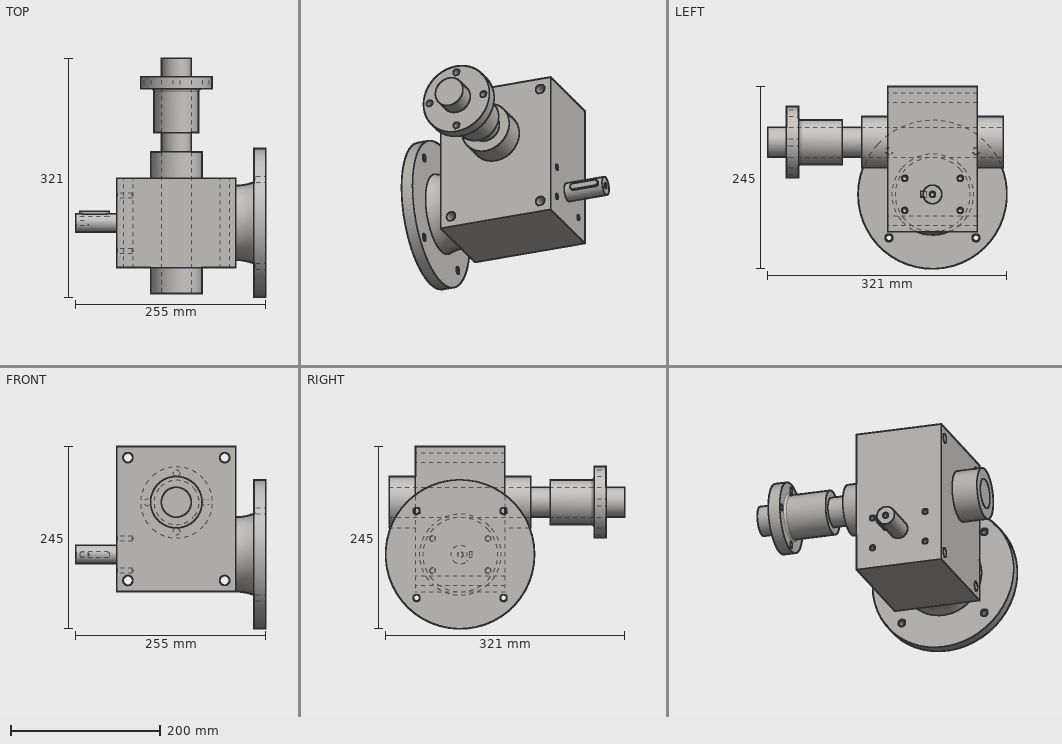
import cadquery as cq
import math


OVERALL_LENGTH = 321.0

HOUSING_LENGTH = 160.0
HOUSING_WIDTH = 120.0
HOUSING_HEIGHT = 195.0
INPUT_HEIGHT = 50.0
AXIS_DISTANCE = 70.0
HOUSING_END_X = HOUSING_LENGTH / 2
HOUSING_SIDE_Y = HOUSING_WIDTH / 2
HOUSING_MID_Z = HOUSING_HEIGHT / 2 - INPUT_HEIGHT

COLLAR_DIAMETER = 69.0
COLLAR_LENGTH = 35.0
COLLAR_END_Y = HOUSING_SIDE_Y + COLLAR_LENGTH

MOUNTING_HOLE_DIAMETER = 13.0
MOUNTING_HOLE_MARGIN = 15.0

DRILL_POINT_ANGLE = 118.0

COVER_HOLE_DIAMETER = 6.7
COVER_HOLE_MOUTH = 8.0
COVER_HOLE_DEPTH = 20.0
COVER_HOLE_SPACING_Y = 74.5
COVER_HOLE_SPACING_Z = 43.0

NECK_LENGTH = 24.0
NECK_RADIUS = 50.0
NECK_FLARE = 4.5
FLANGE_DIAMETER = 200.0
FLANGE_THICKNESS = 16.0
FLANGE_HOLE_DIAMETER = 8.5
FLANGE_HOLE_MOUTH = 10.3
FLANGE_BOLT_CIRCLE = 165.0

SHAFT_DIAMETER = 25.0
SHAFT_LENGTH = 55.0
CENTRE_HOLE_DIAMETER = 6.7
CENTRE_HOLE_MOUTH = 8.0
CENTRE_HOLE_DEPTH = 16.0
KEY_LENGTH = 40.0
KEY_WIDTH = 8.0
KEY_HEIGHT = 7.0
KEY_PROJECTION = 3.2
KEY_END_GAP = 5.0

SCREW_DIAMETER = 40.0
SCREW_TIP_Y = OVERALL_LENGTH - FLANGE_DIAMETER / 2

NUT_DIAMETER = 60.0
NUT_LENGTH = 75.0
NUT_FLANGE_DIAMETER = 96.0
NUT_FLANGE_THICKNESS = 16.5
NUT_TIP_GAP = 25.0
NUT_FILLET_RADIUS = 3.0
NUT_HOLE_DIAMETER = 9.0
NUT_BOLT_CIRCLE = 78.0
NUT_HOLE_COUNT = 4


def cylinder_x(diameter, start, end, y=0, z=0):
    """Cylinder along X from start to end."""
    return cq.Workplane("YZ", origin=(start, y, z)).circle(diameter / 2).extrude(end - start)


def cylinder_y(diameter, start, end, x=0, z=AXIS_DISTANCE):
    """Cylinder along Y from start to end, on the screw axis unless placed elsewhere."""
    return cq.Workplane("XZ", origin=(x, start, z)).circle(diameter / 2).extrude(start - end)


def countersink_x(mouth_diameter, start, y=0, z=0):
    """Cone of 90 degrees with its mouth at start, narrowing towards +X."""
    mouth_radius = mouth_diameter / 2
    profile = (
        cq.Workplane("XY", origin=(start, y, z))
        .lineTo(mouth_radius, 0)
        .lineTo(0, mouth_radius)
        .close()
    )
    return profile.revolve(360, (0, 0, 0), (1, 0, 0))


def blind_hole_x(diameter, mouth_diameter, depth, start, y=0, z=0):
    """Countersunk hole running towards +X with a conical drill point at its bottom."""
    radius = diameter / 2
    point_length = radius / math.tan(math.radians(DRILL_POINT_ANGLE / 2))
    profile = (
        cq.Workplane("XY", origin=(start, y, z))
        .lineTo(depth + point_length, 0)
        .lineTo(depth, radius)
        .lineTo(0, radius)
        .close()
    )
    hole = profile.revolve(360, (0, 0, 0), (1, 0, 0))
    return hole.union(countersink_x(mouth_diameter, start, y, z))


def make_motor_flange():
    """Round flange on a neck that leaves the housing straight and flares along an arc."""
    neck_end_radius = NECK_RADIUS + NECK_FLARE
    flare_radius = (NECK_LENGTH**2 + NECK_FLARE**2) / (2 * NECK_FLARE)
    half_angle = math.asin(NECK_LENGTH / flare_radius) / 2
    arc_middle = (
        flare_radius * math.sin(half_angle),
        NECK_RADIUS + flare_radius * (1 - math.cos(half_angle)),
    )
    neck = (
        cq.Workplane("XY", origin=(HOUSING_END_X, 0, 0))
        .lineTo(0, NECK_RADIUS)
        .threePointArc(arc_middle, (NECK_LENGTH, neck_end_radius))
        .lineTo(NECK_LENGTH, 0)
        .close()
        .revolve(360, (0, 0, 0), (1, 0, 0))
    )
    flange_start = HOUSING_END_X + NECK_LENGTH
    flange_end = flange_start + FLANGE_THICKNESS
    flange = cylinder_x(FLANGE_DIAMETER, flange_start, flange_end)
    bolt_offset = FLANGE_BOLT_CIRCLE / 2 * math.sqrt(0.5)
    for y in (-bolt_offset, bolt_offset):
        for z in (-bolt_offset, bolt_offset):
            flange = flange.cut(cylinder_x(FLANGE_HOLE_DIAMETER, flange_start, flange_end, y, z))
            flange = flange.cut(countersink_x(FLANGE_HOLE_MOUTH, flange_start, y, z))
    return neck.union(flange)


def make_housing():
    """Block with collars, motor flange, screw bore, mounting holes and blind cover holes."""
    housing = cq.Workplane("XY").box(HOUSING_LENGTH, HOUSING_WIDTH, HOUSING_HEIGHT)
    housing = housing.translate((0, 0, HOUSING_MID_Z))
    housing = housing.union(cylinder_y(COLLAR_DIAMETER, -COLLAR_END_Y, COLLAR_END_Y))
    housing = housing.union(make_motor_flange())
    housing = housing.cut(cylinder_y(SCREW_DIAMETER, -COLLAR_END_Y, COLLAR_END_Y))

    mounting_x = HOUSING_LENGTH / 2 - MOUNTING_HOLE_MARGIN
    mounting_z = HOUSING_HEIGHT / 2 - MOUNTING_HOLE_MARGIN
    for x in (-mounting_x, mounting_x):
        for z in (HOUSING_MID_Z - mounting_z, HOUSING_MID_Z + mounting_z):
            housing = housing.cut(
                cylinder_y(MOUNTING_HOLE_DIAMETER, -HOUSING_SIDE_Y, HOUSING_SIDE_Y, x, z)
            )

    for y in (-COVER_HOLE_SPACING_Y / 2, COVER_HOLE_SPACING_Y / 2):
        for z in (-COVER_HOLE_SPACING_Z / 2, COVER_HOLE_SPACING_Z / 2):
            cover_hole = blind_hole_x(
                COVER_HOLE_DIAMETER, COVER_HOLE_MOUTH, COVER_HOLE_DEPTH, -HOUSING_END_X, y, z
            )
            housing = housing.cut(cover_hole)
    return housing


def make_key():
    """Round-ended key lying along X on the +Y side of the input shaft."""
    middle_x = -HOUSING_END_X - SHAFT_LENGTH + KEY_END_GAP + KEY_LENGTH / 2
    top_y = SHAFT_DIAMETER / 2 + KEY_PROJECTION
    return (
        cq.Workplane("XZ", origin=(middle_x, top_y, 0))
        .slot2D(KEY_LENGTH, KEY_WIDTH)
        .extrude(KEY_HEIGHT)
    )


def make_input_shaft(key):
    """Shaft butting against the housing, with a keyway and a blind centre hole in its end."""
    shaft_end_x = -HOUSING_END_X - SHAFT_LENGTH
    shaft = cylinder_x(SHAFT_DIAMETER, shaft_end_x, -HOUSING_END_X)
    centre_hole = blind_hole_x(
        CENTRE_HOLE_DIAMETER, CENTRE_HOLE_MOUTH, CENTRE_HOLE_DEPTH, shaft_end_x
    )
    return shaft.cut(centre_hole).cut(key)


def make_screw():
    """Plain lifting screw, flush with the collar on the -Y side."""
    return cylinder_y(SCREW_DIAMETER, -COLLAR_END_Y, SCREW_TIP_Y)


def make_nut():
    """Nut sleeve with a filleted, drilled flange at the end nearest the screw tip."""
    nut_end = SCREW_TIP_Y - NUT_TIP_GAP
    nut_start = nut_end - NUT_LENGTH
    flange_start = nut_end - NUT_FLANGE_THICKNESS
    sleeve = cylinder_y(NUT_DIAMETER, nut_start, flange_start)
    nut = sleeve.union(cylinder_y(NUT_FLANGE_DIAMETER, flange_start, nut_end))

    corner_reach = NUT_DIAMETER / 2 + NUT_FILLET_RADIUS
    root_corner = cq.selectors.BoxSelector(
        (-corner_reach, flange_start - NUT_FILLET_RADIUS, AXIS_DISTANCE - corner_reach),
        (corner_reach, flange_start + NUT_FILLET_RADIUS, AXIS_DISTANCE + corner_reach),
        boundingbox=True,
    )
    nut = nut.edges(root_corner).fillet(NUT_FILLET_RADIUS)

    nut = nut.cut(cylinder_y(SCREW_DIAMETER, nut_start, nut_end))
    for index in range(NUT_HOLE_COUNT):
        angle = 2 * math.pi * index / NUT_HOLE_COUNT
        x = NUT_BOLT_CIRCLE / 2 * math.cos(angle)
        z = AXIS_DISTANCE + NUT_BOLT_CIRCLE / 2 * math.sin(angle)
        nut = nut.cut(cylinder_y(NUT_HOLE_DIAMETER, flange_start, nut_end, x, z))
    return nut


housing = make_housing()
key = make_key()
input_shaft = make_input_shaft(key)
screw = make_screw()
nut = make_nut()

result = cq.Compound.makeCompound(
    [housing.val(), input_shaft.val(), key.val(), screw.val(), nut.val()]
)